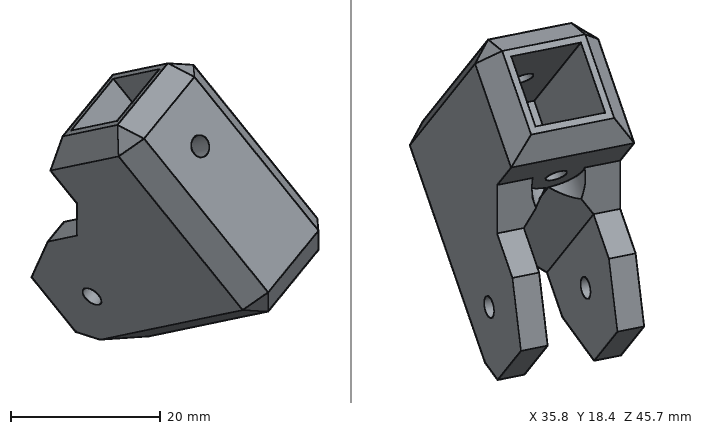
import cadquery as cq
import math


TILT = 45
TUBE_OPENING = 10.4
WALL = 4
BEVEL = 3
HOLE_DIAMETER = 3
HINGE_RADIUS = 10
ELBOW_LENGTH = 30
ARM_TOP = 24
SOCKET_DEPTH = 20
INNER_CORNER = 5
SCREW_HEAD_DIAMETER = 8

WIDTH = TUBE_OPENING + 2 * WALL
ARM_INNER = ELBOW_LENGTH - WIDTH
ARM_CENTER = ELBOW_LENGTH - WIDTH / 2
LEG_CORNER = ARM_INNER - INNER_CORNER
LEG_END = HINGE_RADIUS * math.sin(math.radians(60))
LEG_END_HALF = HINGE_RADIUS / 2
SCREW_HEIGHT = ARM_TOP - SOCKET_DEPTH / 2


def side_profile(points):
    """Extrude a closed outline of (x, z) points across the full width of the part."""
    return cq.Workplane("XZ").polyline(points).close().extrude(WIDTH / 2, both=True)


def make_elbow():
    """L-shaped body with bevels around its bottom, outer and top faces."""
    body = side_profile(
        [
            (-LEG_END, -HINGE_RADIUS),
            (ELBOW_LENGTH, -HINGE_RADIUS),
            (ELBOW_LENGTH, ARM_TOP),
            (ARM_INNER, ARM_TOP),
            (ARM_INNER, HINGE_RADIUS + INNER_CORNER),
            (LEG_CORNER, HINGE_RADIUS),
            (-LEG_END, HINGE_RADIUS),
        ]
    )
    top_edges = body.faces(">Z").edges()
    outer_edges = body.faces(">X").edges()
    bottom_edges = body.faces("<Z").edges("|X")
    return top_edges.add(outer_edges).add(bottom_edges).chamfer(BEVEL)


def make_end_corner(side):
    """Wedge that tapers one flank of the leg end; side is +1 for the upper flank, -1 for the lower."""
    return side_profile(
        [
            (0, side * HINGE_RADIUS),
            (-LEG_END, side * HINGE_RADIUS),
            (-LEG_END, side * LEG_END_HALF),
        ]
    )


def make_fork_slot():
    """Slot between the cheeks, closing at 45 degrees to a narrow flat level with the arm."""
    half_gap = TUBE_OPENING / 2
    half_tip = half_gap - INNER_CORNER
    height = ARM_TOP + HINGE_RADIUS
    return (
        cq.Workplane("XY", origin=(0, 0, -HINGE_RADIUS))
        .polyline(
            [
                (-LEG_END, -half_gap),
                (LEG_CORNER, -half_gap),
                (ARM_INNER, -half_tip),
                (ARM_INNER, half_tip),
                (LEG_CORNER, half_gap),
                (-LEG_END, half_gap),
            ]
        )
        .close()
        .extrude(height)
    )


def make_socket():
    """Square blind pocket for the tube, open at the top of the arm."""
    return (
        cq.Workplane("XY", origin=(ARM_CENTER, 0, ARM_TOP))
        .rect(TUBE_OPENING, TUBE_OPENING)
        .extrude(-SOCKET_DEPTH)
    )


def make_hinge_hole():
    """Pin hole through both cheeks."""
    return cq.Workplane("XZ").circle(HOLE_DIAMETER / 2).extrude(WIDTH / 2, both=True)


def make_screw_cut():
    """Screw hole through both arm walls, with head clearance in the inside corner."""
    seat = cq.Workplane("YZ", origin=(ARM_INNER, 0, SCREW_HEIGHT))
    hole = seat.circle(HOLE_DIAMETER / 2).extrude(WIDTH)
    head = seat.circle(SCREW_HEAD_DIAMETER / 2).extrude(-INNER_CORNER)
    return hole.union(head)


upright = make_elbow()
for flank in (1, -1):
    upright = upright.cut(make_end_corner(flank))
upright = (
    upright.cut(make_fork_slot())
    .cut(make_socket())
    .cut(make_hinge_hole())
    .cut(make_screw_cut())
)

result = upright.rotate((0, 0, 0), (0, 1, 0), -TILT)